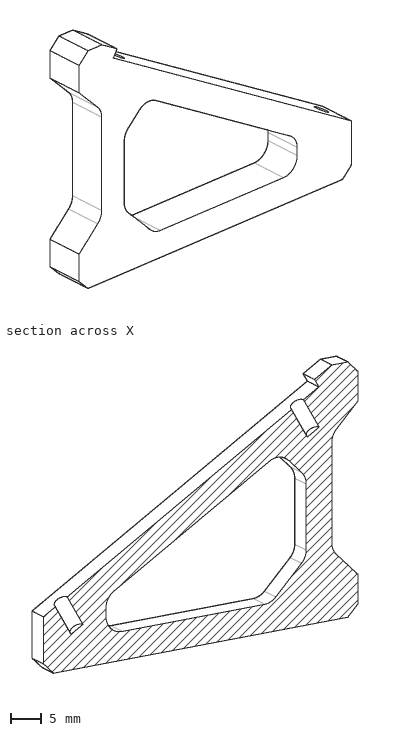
import cadquery as cq
import math

thickness = 7.0
length = 60.0
height = 43.6

corner_chamfer = 2.0
back_height = 10.0
slope_angle = math.radians(30)
lip_step = 1.6
lip_foot_y = 7.55
pad_inner_low = 7.0
pad_inner_high = 36.6
recess_depth = 5.0

wall = 5.0
window_back_y = 48.0
window_low_leg = 6.65
window_high_z = 25.4
corner_radius = 3.0

hole_diameter = 2.5
hole_depth = 6.0
hole_ys = (11.6, 56.6)

slope = math.tan(slope_angle)


def slope_z(y, offset=0.0):
    """Height at y of a line parallel to the sloped face, raised square to it by offset."""
    return back_height + (length - y) * slope + offset / math.cos(slope_angle)


def extrude_profile(points):
    """Extrude a YZ outline over the full thickness, centred on X = 0."""
    return cq.Workplane("YZ").polyline(points).close().extrude(thickness / 2, both=True)


def round_edges(body, places):
    """Round the edges parallel to X that pass through the given (y, z) places."""
    for y, z in places:
        edge = cq.selectors.NearestToPointSelector((0, y, z))
        body = body.edges("|X").edges(edge).fillet(corner_radius)
    return body


def make_body():
    lip_tip_y = lip_foot_y + lip_step * math.sin(slope_angle)
    lip_top_y = length - (height - slope_z(length, lip_step)) / slope
    recess_corners = [
        (recess_depth, pad_inner_high - recess_depth),
        (recess_depth, pad_inner_low + recess_depth),
    ]
    outline = [
        (corner_chamfer, 0),
        (length - corner_chamfer, 0),
        (length, corner_chamfer),
        (length, back_height),
        (lip_foot_y, slope_z(lip_foot_y)),
        (lip_tip_y, slope_z(lip_tip_y, lip_step)),
        (lip_top_y, height),
        (corner_chamfer, height),
        (0, height - corner_chamfer),
        (0, pad_inner_high),
        *recess_corners,
        (0, pad_inner_low),
        (0, corner_chamfer),
    ]
    return round_edges(extrude_profile(outline), recess_corners)


def make_window():
    front_y = recess_depth + wall
    peak_y = front_y + (slope_z(front_y, -wall) - window_high_z) / (1 + slope)
    corners = [
        (front_y + window_low_leg, wall),
        (window_back_y, wall),
        (window_back_y, slope_z(window_back_y, -wall)),
        (peak_y, slope_z(peak_y, -wall)),
        (front_y, window_high_z),
        (front_y, wall + window_low_leg),
    ]
    return round_edges(extrude_profile(corners), corners)


def make_hole(y):
    inward = cq.Vector(0, -math.sin(slope_angle), -math.cos(slope_angle))
    return cq.Solid.makeCylinder(hole_diameter / 2, hole_depth, cq.Vector(0, y, slope_z(y)), inward)


result = make_body().cut(make_window())
for hole_y in hole_ys:
    result = result.cut(make_hole(hole_y))